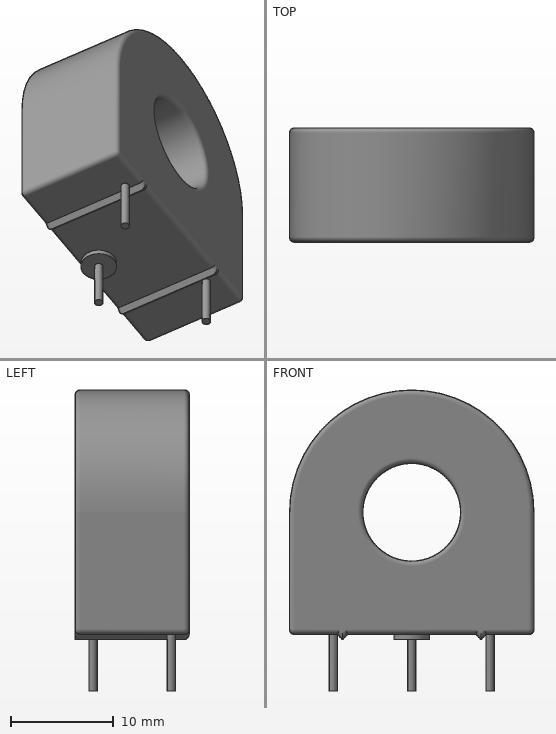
import cadquery as cq

total_height = 29.3
width = 23.8
depth = 11.13
round_radius = width / 2
axis_z = total_height - round_radius
base_z = axis_z - round_radius
edge_radius = 0.5

window_diameter = 9.5

rib_height = 0.5
rib_x = 6.75

pin_diameter = 0.82
pin_embed = 1.0
side_pin_x = 7.62
pin_y = 3.8
standoff_diameter = 3.5
standoff_height = 0.5


def make_housing():
    """Arched block with ribs, rounded on its end outlines and bottom corners."""
    profile = (
        cq.Workplane("XZ", origin=(0, depth / 2, 0))
        .moveTo(-round_radius, axis_z)
        .lineTo(-round_radius, base_z)
    )
    for x in (-rib_x, rib_x):
        profile = (
            profile.lineTo(x - rib_height, base_z)
            .lineTo(x, base_z - rib_height)
            .lineTo(x + rib_height, base_z)
        )
    block = (
        profile.lineTo(round_radius, base_z)
        .lineTo(round_radius, axis_z)
        .threePointArc((0, total_height), (-round_radius, axis_z))
        .close()
        .extrude(depth)
    )
    bottom_corners = cq.selectors.BoxSelector(
        (-width, -depth, base_z - edge_radius / 2),
        (width, depth, base_z + edge_radius / 2),
    )
    side_corners = block.faces("<X or >X").edges("|Y").edges(bottom_corners)
    end_outlines = block.faces("<Y or >Y").edges()
    return side_corners.add(end_outlines).fillet(edge_radius)


def cut_window(housing):
    """Round through hole with both rims rounded outward."""
    hole = (
        cq.Workplane("XZ", origin=(0, depth / 2, axis_z))
        .circle(window_diameter / 2)
        .extrude(depth)
    )
    rim_zone = cq.selectors.BoxSelector(
        (-window_diameter, -depth, axis_z - window_diameter),
        (window_diameter, depth, axis_z + window_diameter),
    )
    opened = housing.cut(hole)
    return opened.faces("<Y or >Y").edges("%CIRCLE").edges(rim_zone).fillet(edge_radius)


def make_pin(x, y):
    """Round pin from Z = 0 up into the housing."""
    return cq.Workplane("XY").center(x, y).circle(pin_diameter / 2).extrude(base_z + pin_embed)


def make_standoff():
    """Disc under the base, reaching up past the rounded rear edge."""
    return (
        cq.Workplane("XY", origin=(0, pin_y, base_z - standoff_height))
        .circle(standoff_diameter / 2)
        .extrude(standoff_height + edge_radius)
    )


result = cut_window(make_housing()).union(make_standoff())
for x, y in ((-side_pin_x, -pin_y), (0, pin_y), (side_pin_x, -pin_y)):
    result = result.union(make_pin(x, y))